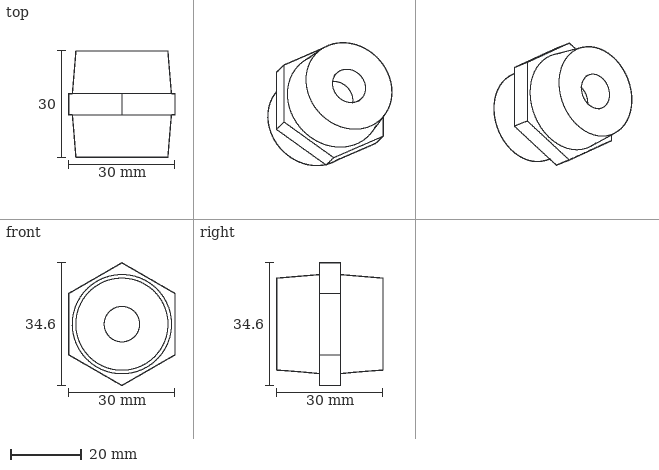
import cadquery as cq
import math

total_length = 30.0
hex_across_flats = 30.0
hex_thickness = 6.0
base_diameter = 28.0
end_diameter = 26.0
hole_diameter = 10.0
hole_depth = 10.0

hex_across_corners = hex_across_flats / math.cos(math.radians(30))
half_length = total_length / 2
half_hex = hex_thickness / 2
base_radius = base_diameter / 2
end_radius = end_diameter / 2


def hex_collar():
    """Central hexagon with flats facing +/-X and corners on +/-Z."""
    return (
        cq.Workplane("XZ")
        .transformed(rotate=(0, 0, 90))
        .polygon(6, hex_across_corners)
        .extrude(half_hex, both=True)
    )


def tapered_body():
    """Round body, widest at the collar and narrowing evenly to both ends."""
    half_section = [
        (-half_length, 0),
        (-half_length, end_radius),
        (-half_hex, base_radius),
        (half_hex, base_radius),
        (half_length, end_radius),
        (half_length, 0),
    ]
    return cq.Workplane("YZ").polyline(half_section).close().revolve(360, (0, 0), (1, 0))


def end_hole():
    """Flat-bottomed axial hole entering from the -Y end."""
    return (
        cq.Workplane("XZ", origin=(0, -half_length, 0))
        .circle(hole_diameter / 2)
        .extrude(-hole_depth)
    )


front_hole = end_hole()
rear_hole = front_hole.mirror("XZ")

result = hex_collar().union(tapered_body()).cut(front_hole).cut(rear_hole)